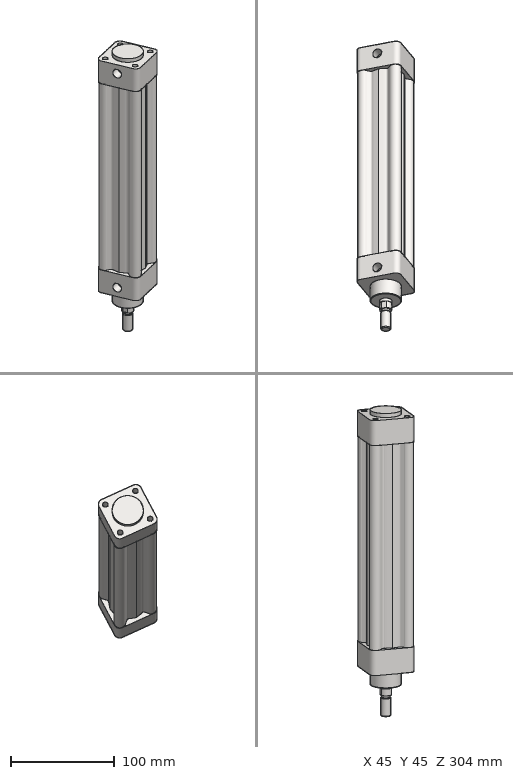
import cadquery as cq
import math

total_height = 304.0
rod_extension = 31.0
front_collar_height = 15.8
cover_height = 25.0
rear_spigot_height = 4.0

front_cover_bottom = rod_extension + front_collar_height
front_cover_top = front_cover_bottom + cover_height
rear_cover_top = total_height - rear_spigot_height
rear_cover_bottom = rear_cover_top - cover_height

cover_width = 45.0
cover_corner_radius = 5.5
spigot_diameter = 30.0
collar_chamfer = 0.5
port_diameter = 9.0
port_depth = 10.5
port_inset = 9.7
screw_offset = 16.0
screw_hole_diameter = 5.2
screw_hole_depth = 12.2

lobe_radius = 5.8
lobe_offset = 16.5
lobe_end_along = 12.5
flank_end_along = 12.0
flank_angle = math.radians(45)
groove_radius = 2.0
groove_along = 8.0
groove_out = 16.7
strip_end_along = 6.7
strip_slope = math.tan(math.radians(18))
rib_end_along = 5.0
rib_slope = math.tan(math.radians(15))

rod_radius = 6.0
wrench_radius = 5.8
flats_width = 10.3
flats_top = 28.0
flats_bottom = 21.0
neck_radius = 4.3
thread_radius = 5.0
thread_top = 19.0
thread_chamfer = 1.0


def cover_block(bottom):
    """Square block with rounded upright edges, standing on the given height."""
    return (
        cq.Workplane("XY", origin=(0, 0, bottom))
        .rect(cover_width, cover_width)
        .extrude(cover_height)
        .edges("|Z")
        .fillet(cover_corner_radius)
    )


def port_cutter(height):
    """Blind port drilled into the -Y side at the given height."""
    return (
        cq.Workplane("XZ", origin=(0, -cover_width / 2, height))
        .circle(port_diameter / 2)
        .extrude(-port_depth)
    )


def upright_cylinder(radius, bottom, height):
    """Cylinder on the main axis, standing on the given height."""
    return cq.Workplane("XY", origin=(0, 0, bottom)).circle(radius).extrude(height)


def build_front_cover():
    collar = upright_cylinder(spigot_diameter / 2, rod_extension, front_collar_height)
    collar = collar.faces("<Z").chamfer(collar_chamfer)
    rod_hole = upright_cylinder(rod_radius, rod_extension, front_collar_height + cover_height)
    port = port_cutter(front_cover_bottom + port_inset)
    return cover_block(front_cover_bottom).union(collar).cut(rod_hole).cut(port)


def build_rear_cover():
    spigot = upright_cylinder(spigot_diameter / 2, rear_cover_top, rear_spigot_height)
    screw_holes = (
        cq.Workplane("XY", origin=(0, 0, rear_cover_top))
        .rect(2 * screw_offset, 2 * screw_offset, forConstruction=True)
        .vertices()
        .circle(screw_hole_diameter / 2)
        .extrude(-screw_hole_depth)
    )
    port = port_cutter(rear_cover_top - port_inset)
    return cover_block(rear_cover_bottom).union(spigot).cut(screw_holes).cut(port)


def side_point(side, along, out):
    """Point on one of the four barrel sides: `along` it (counter-clockwise) and `out` from the axis."""
    angle = side * math.pi / 2
    return (
        out * math.cos(angle) - along * math.sin(angle),
        out * math.sin(angle) + along * math.cos(angle),
    )


def groove_point(angle):
    """Point of the groove floor where its surface is inclined by `angle`."""
    return (
        groove_along + groove_radius * math.sin(angle),
        groove_out + groove_radius * (1 - math.cos(angle)),
    )


def mirrored(point):
    """The same point on the other half of its side."""
    return (-point[0], point[1])


def build_barrel():
    """Barrel with a lobe at each corner and a ridged rib between two grooves on each side."""
    strip_angle = math.asin((strip_end_along - groove_along) / groove_radius)
    strip_end = groove_point(strip_angle)
    rib_end = (rib_end_along, strip_end[1] + (strip_end_along - rib_end_along) * strip_slope)
    ridge = (0, rib_end[1] + rib_end_along * rib_slope)
    groove_bottom = groove_point(0)
    flank_foot = groove_point(flank_angle)
    flank_rise = (flank_end_along - flank_foot[0]) * math.tan(flank_angle)
    flank_end = (flank_end_along, flank_foot[1] + flank_rise)
    lobe_end_height = math.sqrt(lobe_radius**2 - (lobe_offset - lobe_end_along)**2)
    lobe_end = (lobe_end_along, lobe_offset + lobe_end_height)
    lobe_middle = lobe_offset + lobe_radius * math.sqrt(0.5)

    outline = cq.Workplane("XY", origin=(0, 0, front_cover_top))
    outline = outline.moveTo(*side_point(0, *ridge))
    for side in range(4):
        following = side + 1
        outline = (
            outline
            .lineTo(*side_point(side, *rib_end))
            .lineTo(*side_point(side, *strip_end))
            .threePointArc(side_point(side, *groove_bottom), side_point(side, *flank_foot))
            .lineTo(*side_point(side, *flank_end))
            .lineTo(*side_point(side, *lobe_end))
            .threePointArc(
                side_point(side, lobe_middle, lobe_middle),
                side_point(following, *mirrored(lobe_end)),
            )
            .lineTo(*side_point(following, *mirrored(flank_end)))
            .lineTo(*side_point(following, *mirrored(flank_foot)))
            .threePointArc(
                side_point(following, *mirrored(groove_bottom)),
                side_point(following, *mirrored(strip_end)),
            )
            .lineTo(*side_point(following, *mirrored(rib_end)))
        )
        if following < 4:
            outline = outline.lineTo(*side_point(following, *ridge))
    return outline.close().extrude(rear_cover_bottom - front_cover_top)


def build_rod():
    """Turned rod with a thread, a neck and a reduced wrench section with flats on +Y and -Y."""
    chamfered_radius = thread_radius - thread_chamfer
    profile = [
        (0, 0),
        (-chamfered_radius, 0),
        (-thread_radius, thread_chamfer),
        (-thread_radius, thread_top - thread_chamfer),
        (-neck_radius, thread_top),
        (-neck_radius, flats_bottom),
        (-wrench_radius, flats_bottom),
        (-wrench_radius, flats_top),
        (-rod_radius, flats_top),
        (-rod_radius, front_cover_top),
        (0, front_cover_top),
    ]
    rod = cq.Workplane("YZ").polyline(profile).close().revolve(360, (0, 0, 0), (0, 1, 0))
    flats_height = flats_top - flats_bottom
    for direction in (-1, 1):
        cutter = cq.Workplane("XY").box(2 * rod_radius, rod_radius, flats_height)
        rod = rod.cut(
            cutter.translate((
                0,
                direction * (flats_width + rod_radius) / 2,
                flats_bottom + flats_height / 2,
            ))
        )
    return rod


front_cover = build_front_cover()
rear_cover = build_rear_cover()
barrel = build_barrel()
rod = build_rod()

result = cq.Compound.makeCompound([front_cover.val(), rear_cover.val(), barrel.val(), rod.val()])